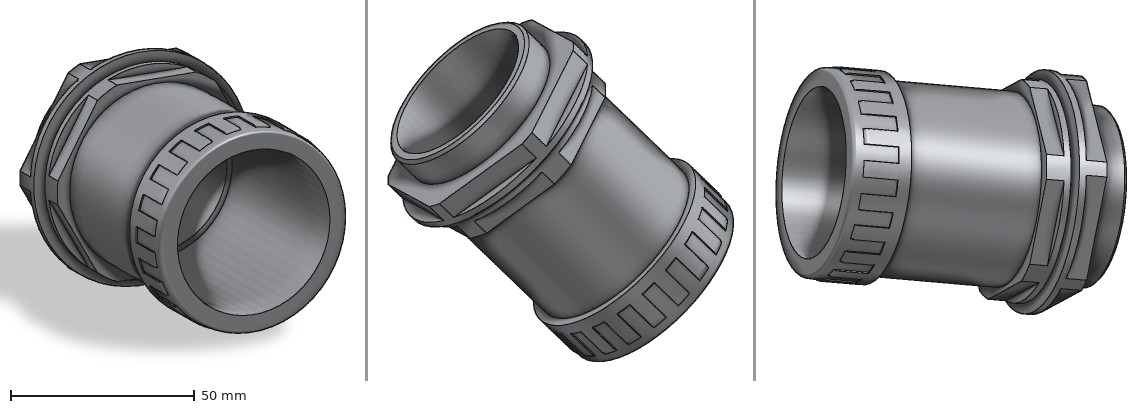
import cadquery as cq
import math

LENGTH = 82.3
LOCKNUT_START = 9.55
LOCKNUT_FLANGE_START = 15.55
LOCKNUT_END = 17.6
BODY_FLANGE_START = 19.0
BODY_HEX_START = 21.0
BODY_HEX_END = 26.2
CAP_START = 65.35
RIB_START = 69.05
RIB_ROUND_START = 77.7
RIB_END = 79.2

SPIGOT_RADIUS = 25.0
LOCKNUT_RADIUS = 33.5
LOCKNUT_FLATS = 60.0
NECK_RADIUS = 27.4
BODY_FLANGE_RADIUS = 30.8
BODY_HEX_FLATS = 56.45
TUBE_RADIUS = 26.9
CAP_RADIUS = 29.0
RIB_RADIUS = 29.4
ENTRY_BORE_RADIUS = 22.0
MAIN_BORE_START = 25.85
MAIN_BORE_RADIUS = 23.6

SPIGOT_CHAMFER = 0.9
RIM_FILLET = 1.15
RIB_COUNT = 20
RIB_PITCH = 360 / RIB_COUNT
CUT_CLEARANCE = 0.8


def cylinder(start, end, radius):
    """Solid cylinder about the X axis between two stations."""
    return cq.Workplane("YZ", origin=(start, 0, 0)).circle(radius).extrude(end - start)


def clipped_hexagon(start, end, across_flats, corner_radius):
    """Hexagon with flats facing up and down and its corners turned round."""
    across_corners = across_flats / math.cos(math.pi / 6)
    hexagon = cq.Workplane("YZ", origin=(start, 0, 0)).polygon(6, across_corners).extrude(end - start)
    return hexagon.intersect(cylinder(start, end, corner_radius))


def polar_point(radius, degrees):
    """Point in the cross-section plane at a radius and an angle from +Y."""
    angle = math.radians(degrees)
    return radius * math.cos(angle), radius * math.sin(angle)


def ribbed_band():
    """Band of grip ribs with equally wide gaps; one gap is centred on +Y."""
    quarter = RIB_PITCH / 4
    outline = cq.Workplane("YZ", origin=(RIB_START, 0, 0)).moveTo(*polar_point(CAP_RADIUS, -quarter))
    for index in range(RIB_COUNT):
        gap_middle = index * RIB_PITCH
        rib_edge = gap_middle + quarter
        rib_middle = gap_middle + 2 * quarter
        rib_far_edge = gap_middle + 3 * quarter
        outline = (
            outline.threePointArc(polar_point(CAP_RADIUS, gap_middle), polar_point(CAP_RADIUS, rib_edge))
            .lineTo(*polar_point(RIB_RADIUS, rib_edge))
            .threePointArc(polar_point(RIB_RADIUS, rib_middle), polar_point(RIB_RADIUS, rib_far_edge))
            .lineTo(*polar_point(CAP_RADIUS, rib_far_edge))
        )
    return outline.close().extrude(RIB_END - RIB_START)


def rib_end_rounding():
    """Ring of material that is removed to round the outer ends of the ribs down to the cap surface."""
    profile = (
        cq.Workplane("XY")
        .moveTo(RIB_ROUND_START - CUT_CLEARANCE, RIB_RADIUS)
        .lineTo(RIB_ROUND_START, RIB_RADIUS)
        .tangentArcPoint((RIB_END, CAP_RADIUS), relative=False)
        .lineTo(RIB_END, RIB_RADIUS + CUT_CLEARANCE)
        .lineTo(RIB_ROUND_START - CUT_CLEARANCE, RIB_RADIUS + CUT_CLEARANCE)
        .close()
    )
    return profile.revolve(360, (0, 0, 0), (1, 0, 0))


spigot = cylinder(0, BODY_FLANGE_START, SPIGOT_RADIUS).faces("<X").chamfer(SPIGOT_CHAMFER)
locknut = clipped_hexagon(LOCKNUT_START, LOCKNUT_FLANGE_START, LOCKNUT_FLATS, LOCKNUT_RADIUS)
locknut_flange = cylinder(LOCKNUT_FLANGE_START, LOCKNUT_END, LOCKNUT_RADIUS)
neck = cylinder(LOCKNUT_END, BODY_FLANGE_START, NECK_RADIUS)

body_flange = cylinder(BODY_FLANGE_START, BODY_HEX_START, BODY_FLANGE_RADIUS)
body_hex = clipped_hexagon(BODY_HEX_START, BODY_HEX_END, BODY_HEX_FLATS, BODY_FLANGE_RADIUS)
tube = cylinder(BODY_HEX_START, CAP_START, TUBE_RADIUS)

collar = cylinder(CAP_START, RIB_START, RIB_RADIUS)
grip = ribbed_band().cut(rib_end_rounding())
rim = cylinder(RIB_END, LENGTH, CAP_RADIUS).faces(">X").edges().fillet(RIM_FILLET)

result = spigot
for section in (locknut, locknut_flange, neck, body_flange, body_hex, tube, collar, grip, rim):
    result = result.union(section)

result = result.cut(cylinder(0, LENGTH, ENTRY_BORE_RADIUS))
result = result.cut(cylinder(MAIN_BORE_START, LENGTH, MAIN_BORE_RADIUS))